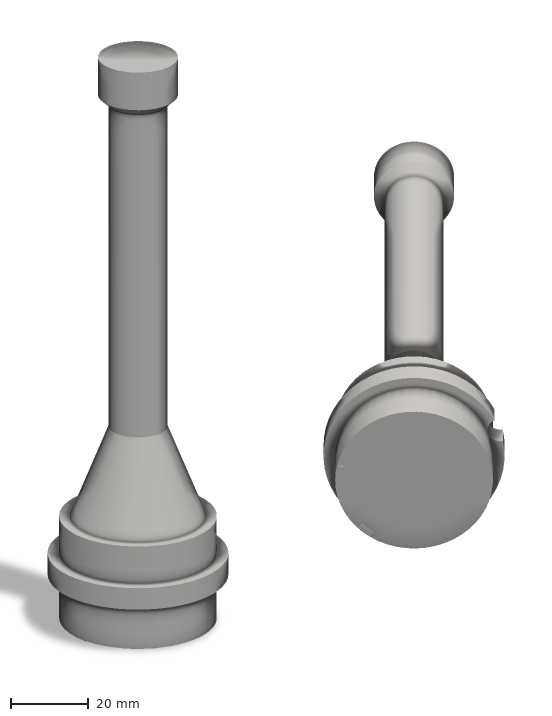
import cadquery as cq

total_height = 157.0

base_diameter = 40.5
lower_base_height = 12.2
flange_diameter = 46.5
flange_height = 6.0
upper_base_height = 10.4

cone_diameter = 35.0
cone_height = 25.1

neck_diameter = 15.0
head_diameter = 20.5
head_height = 10.5
head_taper_height = 2.5

notch_diameter = 6.6

mark_height = 0.3
mark_radius = 19.2
mark_angle = 30.5
bar_mark_length = 4.1
bar_mark_width = 1.3
square_mark_size = 1.0

base_bottom = mark_height
flange_bottom = base_bottom + lower_base_height
flange_top = flange_bottom + flange_height
base_top = flange_top + upper_base_height
cone_top = base_top + cone_height
head_bottom = total_height - head_height
neck_top = head_bottom - head_taper_height


def turned_body():
    """Half profile as (radius, height) points, revolved about Z."""
    base_radius = base_diameter / 2
    flange_radius = flange_diameter / 2
    neck_radius = neck_diameter / 2
    head_radius = head_diameter / 2
    profile = [
        (0, base_bottom),
        (base_radius, base_bottom),
        (base_radius, flange_bottom),
        (flange_radius, flange_bottom),
        (flange_radius, flange_top),
        (base_radius, flange_top),
        (base_radius, base_top),
        (cone_diameter / 2, base_top),
        (neck_radius, cone_top),
        (neck_radius, neck_top),
        (head_radius, head_bottom),
        (head_radius, total_height),
        (0, total_height),
    ]
    return cq.Workplane("XZ").polyline(profile).close().revolve(360, (0, 0, 0), (0, 1, 0))


def flange_notch():
    """Upright cylinder on the +Y side that touches the base wall."""
    center_y = (base_diameter + notch_diameter) / 2
    return (
        cq.Workplane("XY", origin=(0, center_y, flange_bottom))
        .circle(notch_diameter / 2)
        .extrude(flange_height)
    )


def raised_mark(angle, length, width):
    """Pad below the base down to Z = 0, turned about Z from -Y by an angle in degrees."""
    return (
        cq.Workplane("XY")
        .center(0, -mark_radius)
        .rect(length, width)
        .extrude(mark_height)
        .rotate((0, 0, 0), (0, 0, 1), angle)
    )


result = turned_body().cut(flange_notch())
result = result.union(raised_mark(-mark_angle, bar_mark_length, bar_mark_width))
result = result.union(raised_mark(mark_angle, square_mark_size, square_mark_size))